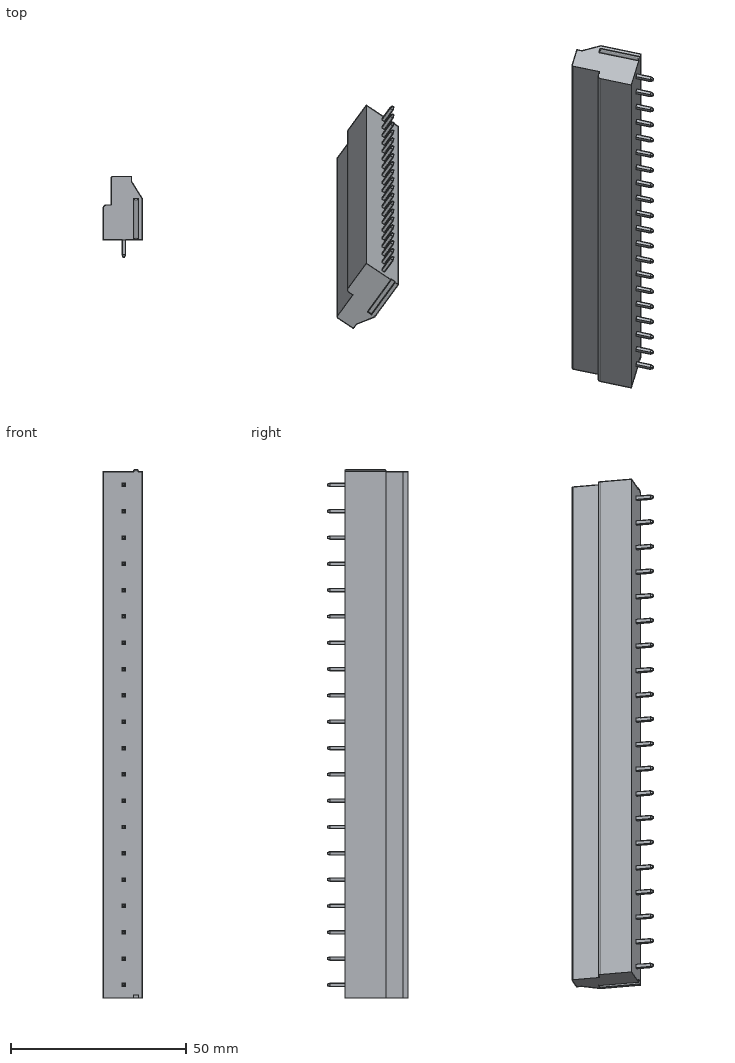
import cadquery as cq

pole_count = 20
total_length = 150.6
rib_height = 0.6
body_length = total_length - rib_height
pitch = body_length / pole_count

body_width = 11.1
body_depth = 18.0
step_width = 2.3
shoulder_y = 10.0
shoulder_radius = 0.9
back_chamfer = 0.3
back_right_x = 8.1
slope_top_y = 16.5
slope_bottom_y = 11.7

pin_x = 5.9
pin_side = 1.0
pin_reach = 5.0
tip_length = 0.8
tip_side = 0.5
pin_root = 1.5

rib_x = 9.3
rib_width = 1.4
rib_run = 11.7
rib_rounding = 0.5
groove_depth = 0.9


def make_body():
    """Stepped housing with a sloped flank, extruded over all poles."""
    outline = [
        (0, 0),
        (body_width, 0),
        (body_width, slope_bottom_y),
        (back_right_x, slope_top_y),
        (back_right_x, body_depth),
        (step_width + back_chamfer, body_depth),
        (step_width, body_depth - back_chamfer),
        (step_width, shoulder_y),
        (shoulder_radius, shoulder_y),
    ]
    return (
        cq.Workplane("XY")
        .polyline(outline)
        .radiusArc((0, shoulder_y - shoulder_radius), -shoulder_radius)
        .close()
        .extrude(body_length)
    )


def make_key(base_z, height):
    """Straight bar from the pin face inwards, rising from base_z by height."""
    return cq.Workplane("XY").box(
        rib_width, rib_run, height, centered=(True, False, False)
    ).translate((rib_x, 0, base_z))


def make_pin(center_z):
    """Square pin with a tapered tip, rooted inside the body."""
    shank_reach = pin_reach - tip_length
    shank = (
        cq.Workplane("XZ", origin=(pin_x, pin_root, center_z))
        .rect(pin_side, pin_side)
        .extrude(pin_root + shank_reach)
    )
    tip = (
        cq.Workplane("XZ", origin=(pin_x, -shank_reach, center_z))
        .rect(pin_side, pin_side)
        .workplane(offset=tip_length)
        .rect(tip_side, tip_side)
        .loft(ruled=True)
    )
    return shank.union(tip)


rib = make_key(body_length, rib_height).faces(">Z").edges().fillet(rib_rounding)
groove = make_key(0, groove_depth)
result = make_body().cut(groove).union(rib)
for pole in range(pole_count):
    result = result.union(make_pin((pole + 0.5) * pitch))